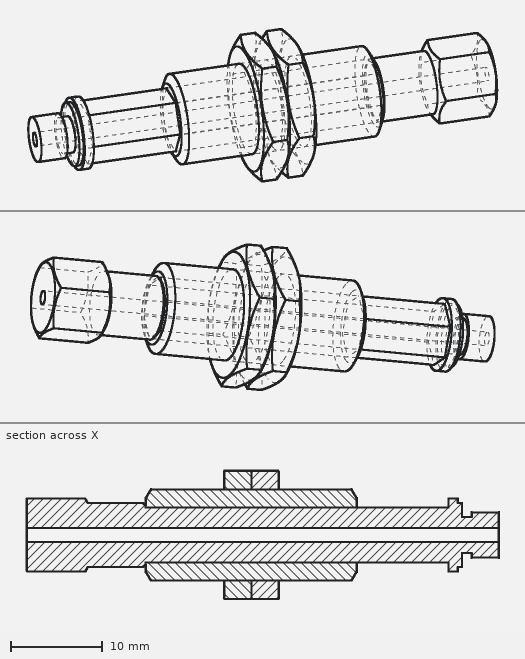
import cadquery as cq
import math


TIP_END = 3.0
NECK_END = 4.0
STEP_END = 4.5
FLANGE_END = 5.5
SLEEVE_START = 15.5
SLEEVE_END = 38.5
NUTS_START = 24.0
HEAD_START = 44.8
ROD_END = 51.5

BORE_DIAMETER = 1.5
TIP_DIAMETER = 5.0
NECK_DIAMETER = 4.0
STEP_DIAMETER = 7.0
FLANGE_DIAMETER = 8.0
ROD_HEX_FLATS = 6.0
SHANK_DIAMETER = 7.0
SHANK_CHAMFER = 0.25
HEAD_FLATS = 8.0
HEAD_REAR_FACE_DIAMETER = 7.7

SLEEVE_DIAMETER = 10.0
SLEEVE_CHAMFER_DEPTH = 1.0

NUT_COUNT = 2
NUT_FLATS = 14.0
NUT_THICKNESS = 3.0
NUT_FACE_DIAMETER = 13.8

CHAMFER_ANGLE = 30.0
CHAMFER_SLOPE = math.tan(math.radians(CHAMFER_ANGLE))

HEX_SIDES = 6


def across_corners(flats):
    """Corner-to-corner width of a hexagon with the given width across flats."""
    return flats / math.cos(math.pi / HEX_SIDES)


def section_plane(start):
    """Plane across the axis at Y = start, facing +Y."""
    return cq.Workplane(cq.Plane(origin=(0, start, 0), xDir=(1, 0, 0), normal=(0, 1, 0)))


def cylinder(start, end, diameter):
    """Round bar on the axis from Y = start to Y = end."""
    return section_plane(start).circle(diameter / 2).extrude(end - start)


def hexagon(start, end, flats):
    """Hexagonal bar with corners on +X and -X and flats facing +Z and -Z."""
    return section_plane(start).polygon(HEX_SIDES, across_corners(flats)).extrude(end - start)


def chamfered_cylinder(start, end, diameter, start_face_diameter, end_face_diameter):
    """Cylinder chamfered at each end down to the given face diameter."""
    radius = diameter / 2
    start_face_radius = start_face_diameter / 2
    end_face_radius = end_face_diameter / 2
    half_profile = [
        (0, start),
        (start_face_radius, start),
        (radius, start + (radius - start_face_radius) * CHAMFER_SLOPE),
        (radius, end - (radius - end_face_radius) * CHAMFER_SLOPE),
        (end_face_radius, end),
        (0, end),
    ]
    return cq.Workplane("XY").polyline(half_profile).close().revolve(360, (0, 0), (0, 1))


def chamfered_hexagon(start, end, flats, start_face_diameter, end_face_diameter):
    """Hexagonal bar with its corners turned off conically at both ends."""
    diameter = across_corners(flats)
    turned_blank = chamfered_cylinder(start, end, diameter, start_face_diameter, end_face_diameter)
    return hexagon(start, end, flats).intersect(turned_blank)


def make_rod():
    """Plunger with grooved tip, flange, hexagonal guide, round shank and hexagonal head."""
    rod = cylinder(0, TIP_END, TIP_DIAMETER)
    rod = rod.union(cylinder(TIP_END, NECK_END, NECK_DIAMETER))
    rod = rod.union(cylinder(NECK_END, STEP_END, STEP_DIAMETER))
    rod = rod.union(cylinder(STEP_END, FLANGE_END, FLANGE_DIAMETER))
    rod = rod.union(hexagon(FLANGE_END, SLEEVE_END, ROD_HEX_FLATS))
    shank = cylinder(SLEEVE_END, HEAD_START, SHANK_DIAMETER)
    rod = rod.union(shank.faces("<Y").chamfer(SHANK_CHAMFER))
    head = chamfered_hexagon(HEAD_START, ROD_END, HEAD_FLATS, SHANK_DIAMETER, HEAD_REAR_FACE_DIAMETER)
    rod = rod.union(head)
    return rod.cut(cylinder(0, ROD_END, BORE_DIAMETER))


def make_sleeve():
    """Round sleeve chamfered at both ends, with a hexagonal hole that guides the rod."""
    face_diameter = SLEEVE_DIAMETER - 2 * SLEEVE_CHAMFER_DEPTH
    sleeve = chamfered_cylinder(
        SLEEVE_START, SLEEVE_END, SLEEVE_DIAMETER, face_diameter, face_diameter
    )
    return sleeve.cut(hexagon(SLEEVE_START, SLEEVE_END, ROD_HEX_FLATS))


def make_nut(start):
    """Hexagonal nut fitting round the sleeve."""
    end = start + NUT_THICKNESS
    nut = chamfered_hexagon(start, end, NUT_FLATS, NUT_FACE_DIAMETER, NUT_FACE_DIAMETER)
    return nut.cut(cylinder(start, end, SLEEVE_DIAMETER))


rod = make_rod()
sleeve = make_sleeve()
nuts = [make_nut(NUTS_START + index * NUT_THICKNESS) for index in range(NUT_COUNT)]

result = cq.Compound.makeCompound([rod.val(), sleeve.val(), *[nut.val() for nut in nuts]])